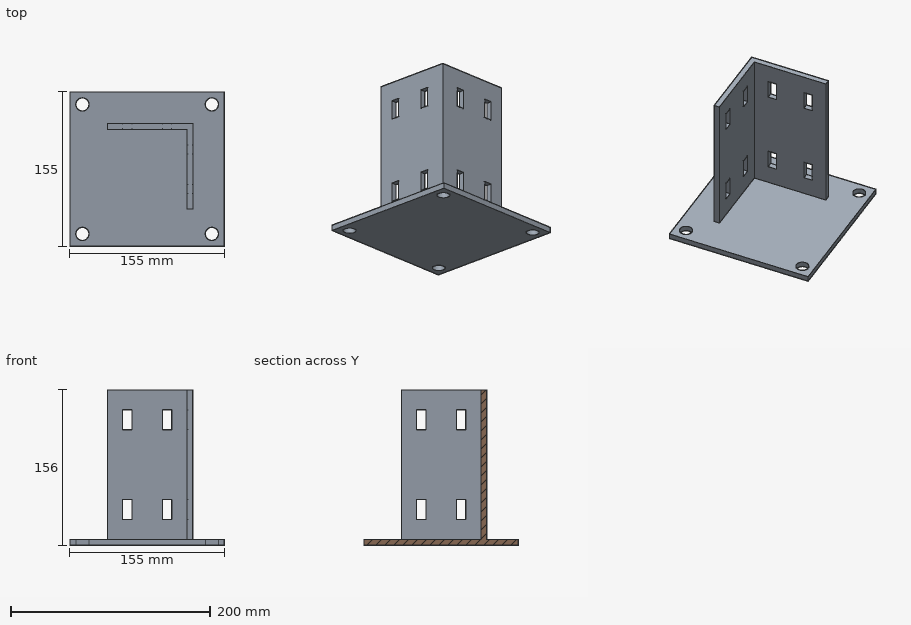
import cadquery as cq

plate_side = 155.0
thickness = 6.0
bolt_diameter = 13.0
bolt_spacing = 130.0

total_height = 156
leg_start = -40.0
inner_face = -leg_start
outer_face = inner_face + thickness
leg_length = outer_face - leg_start
angle_height = total_height - thickness

slot_width = 9.0
slot_height = 20.0
slot_spacing = 40.0
lower_slot_z = 36.0
upper_slot_z = 126.0


def make_plate():
    """Square plate with a bolt hole near each corner."""
    return (
        cq.Workplane("XY")
        .rect(plate_side, plate_side)
        .extrude(thickness)
        .faces(">Z")
        .workplane()
        .rect(bolt_spacing, bolt_spacing, forConstruction=True)
        .vertices()
        .hole(bolt_diameter)
    )


def make_angle():
    """L-section standing on the plate."""
    return (
        cq.Workplane("XY", origin=(0, 0, thickness))
        .moveTo(leg_start, outer_face)
        .hLine(leg_length)
        .vLine(-leg_length)
        .hLine(-thickness)
        .vLineTo(inner_face)
        .hLineTo(leg_start)
        .close()
        .extrude(angle_height)
    )


def make_slots(along_x):
    """Four slot cutters for the leg running along X, or for the one along Y."""
    middle = (inner_face + outer_face) / 2
    cut_depth = 2 * thickness
    cutters = cq.Workplane("XY")
    for offset in (-slot_spacing / 2, slot_spacing / 2):
        for z in (lower_slot_z, upper_slot_z):
            if along_x:
                cutter = cq.Workplane("XY").box(slot_width, cut_depth, slot_height)
                cutter = cutter.translate((offset, middle, z))
            else:
                cutter = cq.Workplane("XY").box(cut_depth, slot_width, slot_height)
                cutter = cutter.translate((middle, offset, z))
            cutters = cutters.add(cutter)
    return cutters.combine()


angle = make_angle().cut(make_slots(along_x=True)).cut(make_slots(along_x=False))
result = make_plate().union(angle)